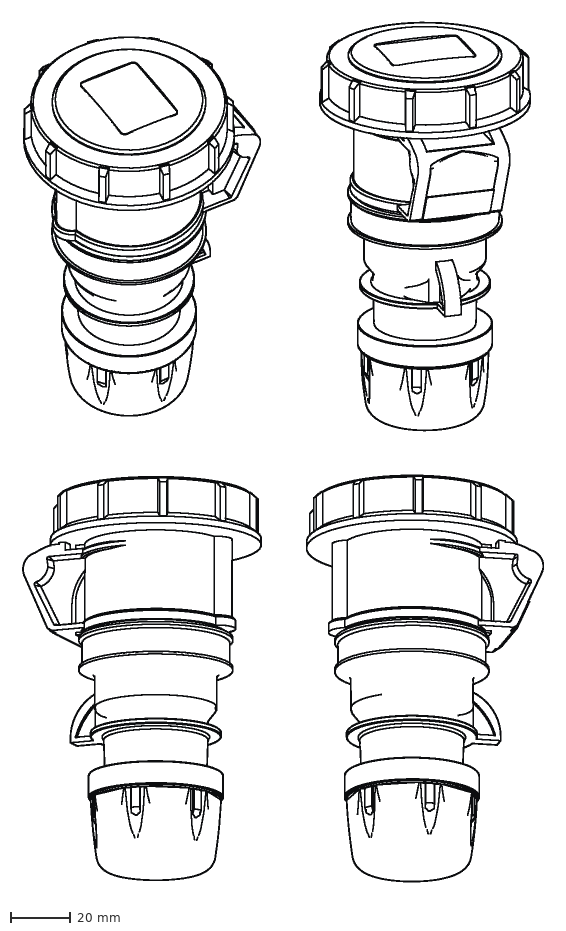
import cadquery as cq
import math

NUT_ROUND_Z = 4.9
NUT_COLLAR_Z = 25.1
NUT_TOP_Z = 33.0
DISC_Z = 46.1
DISC_TOP_Z = 47.8
SHOULDER_Z = 51.0
GRIP_Z = 56.2
GRIP_TOP_Z = 66.7
BAND_Z = 69.1
BAND_TOP_Z = 80.2
COLLAR_Z = 81.4
COLLAR_TOP_Z = 85.1
CAP_Z = 112.3
CAP_TOP_Z = 128.8
TOTAL_HEIGHT = 131.3

NUT_FOOT_R = 14.5
NUT_ROUND_R = 20.1
NUT_R = 22.0
NUT_COLLAR_R = 22.7
NUT_COLLAR_EDGE = 0.3
NECK_R = 17.2
NECK_TOP_R = 17.6
DISC_R = 22.0
DISC_EDGE = 0.3
DISC_FLARE = 1.0
NECK_FILLET = 0.7
GRIP_R = 20.6
BAND_R = 25.0
BAND_LIP_R = 26.0
BAND_LIP = 0.9
SOCKET_R = 24.0

KEY_R = 5.3
KEY_FRONT_Y = -27.5
BACK_RIB_WIDTH = 20.2
BACK_RIB_Y = 25.1
COLLAR_OFFSET = 1.2
COLLAR_CHAMFER = 0.8

CAP_DIAMETER = 71.0
CAP_R = CAP_DIAMETER / 2
CAP_FLANGE = 2.2
CAP_CHAMFER_HEIGHT = 1.8
DRUM_R = 33.1
DRUM_EDGE = 0.8
RIB_COUNT = 10
RIB_ANGLE = -9.0
RIB_R = 35.2
RIB_TIP_WIDTH = 2.4
RIB_ROOT_WIDTH = 3.7
RIB_TIP_DROP = 2.4

LID_R = 25.9
LID_RIM_R = 24.8
LID_STEP = 0.4
LID_EDGE_Z = 130.2
LABEL_WIDTH = 29.5
LABEL_HEIGHT = 21.8
LABEL_CORNER = 1.6
LABEL_FLOOR_Z = 130.5

FLUTE_COUNT = 6
FLUTE_ANGLE = 4.0
FLUTE_R = 5.4
FLUTE_FLOOR_R = 20.5
CHANNEL_R = 1.8
CHANNEL_FLOOR_R = 20.4
FLUTE_RIB_WIDTH = 3.2
FLUTE_RIB_R = 21.4
FLUTE_RIB_Z = 15.0
FLUTE_RIB_SLOPE = 2.6
FLAT_DISTANCE = 20.8
FLAT_WIDTH = 18.4
NUT_CUT_TOP_Z = 24.4

LEVER_WIDTH = 32.6
LEVER_WEB_WIDTH = 25.2
LEVER_GAP_WIDTH = 23.9
RECESS_TAPER = 12.0
LEVER_BACK_Y = 41.8
OVERALL_DEPTH = 77.8
LEVER_PAD_Y = OVERALL_DEPTH - CAP_R
LEVER_GAP_Y = 38.0
GAP_SINK = 0.4
NOTCH_Z = 104.5
NOTCH_END_Y = 42.0
NOTCH_TIP_Y = 39.7
EAR_Z = 111.8
EAR_FRONT_Y = 26.3
STRAP_Z = 107.0
STRAP_TOP_Z = 109.5
STRAP_SHIFT = 2.1
STRAP_EDGE = 0.5
HINGE_DEPTH = 2.4
LEVER_FOOT_Z = 82.2
LEVER_FLOOR_Z = 84.7
CLEARANCE_Y = 25.3
CLEARANCE_TOP_Z = 103.0
PAD_TOP_Z = 92.7

BRACKET_WIDTH = 5.8
BRACKET_WEB_WIDTH = 3.2
BRACKET_Y = 30.1
BRACKET_TOP_Z = 62.6
BRACKET_RIM = 1.8
BRACKET_TOP_RIM = 2.9
SKIRT_TIP_WIDTH = 9.2
SKIRT_ROOT_WIDTH = 24.4
SKIRT_ROOT_Y = 12.6


def cylinder(radius, low, high):
    return cq.Workplane("XY").workplane(offset=low).circle(radius).extrude(high - low)


def box(x_size, y_low, y_high, z_low, z_high):
    """Block centred on X = 0."""
    block = cq.Workplane("XY").box(x_size, y_high - y_low, z_high - z_low, centered=(True, False, False))
    return block.translate((0, y_low, z_low))


def across(profile, width):
    """Extrude a YZ profile symmetrically about X = 0."""
    return profile.extrude(width / 2, both=True)


def turn(shape, angle):
    return shape.rotate((0, 0, 0), (0, 0, 1), angle)


def make_nut():
    nut = (
        cq.Workplane("XZ")
        .lineTo(NUT_FOOT_R, 0)
        .threePointArc((18.7, 1.7), (NUT_ROUND_R, NUT_ROUND_Z))
        .threePointArc((21.3, 14.5), (NUT_R, NUT_COLLAR_Z))
        .lineTo(0, NUT_COLLAR_Z)
        .close()
        .revolve(360, (0, 0, 0), (0, 1, 0))
    )
    flat = box(FLAT_WIDTH, FLAT_DISTANCE, NUT_COLLAR_R, NUT_ROUND_Z, NUT_CUT_TOP_Z)
    flute = cylinder(FLUTE_R, NUT_ROUND_Z, NUT_CUT_TOP_Z).translate((FLUTE_FLOOR_R + FLUTE_R, 0, 0))
    channel = cylinder(CHANNEL_R, NUT_ROUND_Z, NUT_CUT_TOP_Z).translate((CHANNEL_FLOOR_R + CHANNEL_R, 0, 0))
    rib = (
        cq.Workplane("XZ")
        .moveTo(NECK_R, FLUTE_RIB_Z)
        .lineTo(CHANNEL_FLOOR_R, FLUTE_RIB_Z)
        .lineTo(FLUTE_RIB_R, FLUTE_RIB_Z + FLUTE_RIB_SLOPE)
        .lineTo(FLUTE_RIB_R, NUT_COLLAR_Z)
        .lineTo(NECK_R, NUT_COLLAR_Z)
        .close()
        .extrude(FLUTE_RIB_WIDTH / 2, both=True)
    )
    pitch = 360 / FLUTE_COUNT
    for index in range(FLUTE_COUNT):
        angle = FLUTE_ANGLE + index * pitch
        nut = nut.cut(turn(flat, angle + pitch / 2 - 90))
        nut = nut.cut(turn(flute, angle)).cut(turn(channel, angle))
        nut = nut.union(turn(rib, angle))
    collar = cylinder(NUT_COLLAR_R, NUT_COLLAR_Z, NUT_TOP_Z)
    return nut.union(collar.edges().chamfer(NUT_COLLAR_EDGE))


def make_body():
    """Turned body from the gland nut up to the socket collar."""
    return (
        cq.Workplane("XZ")
        .moveTo(0, NUT_TOP_Z)
        .lineTo(NECK_R, NUT_TOP_Z)
        .lineTo(NECK_TOP_R, DISC_Z - DISC_FLARE)
        .lineTo(NECK_TOP_R + DISC_FLARE / 2, DISC_Z)
        .lineTo(DISC_R - DISC_EDGE, DISC_Z)
        .lineTo(DISC_R, DISC_Z + DISC_EDGE)
        .lineTo(DISC_R, DISC_TOP_Z - DISC_EDGE)
        .lineTo(DISC_R - DISC_EDGE, DISC_TOP_Z)
        .lineTo(NECK_TOP_R + NECK_FILLET, DISC_TOP_Z)
        .radiusArc((NECK_TOP_R, DISC_TOP_Z + NECK_FILLET), NECK_FILLET)
        .lineTo(NECK_TOP_R, SHOULDER_Z)
        .threePointArc((17.7, 51.9), (18.3, 52.7))
        .lineTo(20.2, 55.2)
        .threePointArc((20.5, 55.7), (GRIP_R, GRIP_Z))
        .lineTo(GRIP_R, GRIP_TOP_Z)
        .threePointArc((21.4, 68.2), (23.1, BAND_Z))
        .lineTo(BAND_LIP_R, BAND_Z)
        .lineTo(BAND_LIP_R, BAND_Z + BAND_LIP)
        .lineTo(BAND_R, BAND_Z + BAND_LIP)
        .lineTo(BAND_R, BAND_TOP_Z - 2 * BAND_LIP)
        .lineTo(BAND_LIP_R, BAND_TOP_Z - BAND_LIP)
        .lineTo(BAND_LIP_R, BAND_TOP_Z)
        .lineTo(SOCKET_R, BAND_TOP_Z)
        .lineTo(SOCKET_R, COLLAR_Z)
        .lineTo(0, COLLAR_Z)
        .close()
        .revolve(360, (0, 0, 0), (0, 1, 0))
    )


def make_socket():
    """Barrel with a round front key, a flat back rib and a collar at its foot."""
    key_y = KEY_FRONT_Y + KEY_R
    socket = box(BACK_RIB_WIDTH, 0, BACK_RIB_Y, COLLAR_Z, CAP_Z)
    for radius, y in ((SOCKET_R, 0), (KEY_R, key_y)):
        barrel = cylinder(radius, COLLAR_Z, CAP_Z)
        collar = cylinder(radius + COLLAR_OFFSET, COLLAR_Z, COLLAR_TOP_Z).faces(">Z").chamfer(COLLAR_CHAMFER)
        socket = socket.union(barrel.union(collar).translate((0, y, 0)))
    return socket


def make_cap():
    flange_top = CAP_Z + CAP_FLANGE
    cap = (
        cq.Workplane("XZ")
        .moveTo(0, CAP_Z)
        .lineTo(CAP_R, CAP_Z)
        .lineTo(CAP_R, flange_top)
        .lineTo(DRUM_R, flange_top + CAP_CHAMFER_HEIGHT)
        .lineTo(DRUM_R, CAP_TOP_Z - DRUM_EDGE)
        .lineTo(DRUM_R - DRUM_EDGE, CAP_TOP_Z)
        .lineTo(0, CAP_TOP_Z)
        .close()
        .revolve(360, (0, 0, 0), (0, 1, 0))
    )
    root = DRUM_R - DRUM_EDGE
    rib = (
        cq.Workplane("XY")
        .workplane(offset=flange_top)
        .polyline(
            [
                (root, -RIB_ROOT_WIDTH / 2),
                (RIB_R, -RIB_TIP_WIDTH / 2),
                (RIB_R, RIB_TIP_WIDTH / 2),
                (root, RIB_ROOT_WIDTH / 2),
            ]
        )
        .close()
        .extrude(CAP_TOP_Z - DRUM_EDGE / 2 - flange_top)
        .faces(">Z")
        .edges(">X")
        .chamfer(RIB_TIP_DROP - DRUM_EDGE / 2, RIB_R - DRUM_R)
    )
    for index in range(RIB_COUNT):
        cap = cap.union(turn(rib, RIB_ANGLE + index * 360 / RIB_COUNT))
    return cap


def make_lid():
    """Domed lid; the long sides of the label recess reach the full height."""
    half_label = LABEL_HEIGHT / 2
    dome_r = (LID_RIM_R**2 - half_label**2) / (2 * (TOTAL_HEIGHT - LID_EDGE_Z))
    centre_z = TOTAL_HEIGHT - math.sqrt(dome_r**2 - half_label**2)
    edge_z = centre_z + math.sqrt(dome_r**2 - LID_RIM_R**2)
    middle_r = LID_RIM_R / 2
    middle_z = centre_z + math.sqrt(dome_r**2 - middle_r**2)
    lid = (
        cq.Workplane("XZ")
        .moveTo(0, CAP_TOP_Z)
        .lineTo(LID_R, CAP_TOP_Z)
        .lineTo(LID_R, CAP_TOP_Z + LID_STEP)
        .lineTo(LID_RIM_R, edge_z)
        .threePointArc((middle_r, middle_z), (0, centre_z + dome_r))
        .close()
        .revolve(360, (0, 0, 0), (0, 1, 0))
    )
    label = box(LABEL_WIDTH, -half_label, half_label, LABEL_FLOOR_Z, centre_z + dome_r)
    return lid.cut(label.edges("|Z").fillet(LABEL_CORNER))


def lever_profile(back_y):
    """Side outline of the latch lever, with its rounded back at the given Y."""
    return (
        cq.Workplane("YZ")
        .moveTo(0, LEVER_FOOT_Z)
        .lineTo(31.5, LEVER_FOOT_Z)
        .lineTo(32.8, 83.1)
        .lineTo(back_y - 0.4, 102.2)
        .threePointArc((back_y, 104.4), (37.4, STRAP_TOP_Z))
        .threePointArc((34.5, 110.9), (31.3, EAR_Z))
        .lineTo(EAR_FRONT_Y, EAR_Z)
        .lineTo(EAR_FRONT_Y, STRAP_TOP_Z)
        .lineTo(0, STRAP_TOP_Z)
        .close()
    )


def make_lever():
    lever = across(lever_profile(LEVER_BACK_Y), LEVER_WIDTH)

    notch = (
        cq.Workplane("XY")
        .workplane(offset=NOTCH_Z)
        .polyline(
            [
                (-LEVER_GAP_WIDTH / 2, 0),
                (-LEVER_GAP_WIDTH / 2, NOTCH_END_Y),
                (0, NOTCH_TIP_Y),
                (LEVER_GAP_WIDTH / 2, NOTCH_END_Y),
                (LEVER_GAP_WIDTH / 2, 0),
            ]
        )
        .close()
        .extrude(CAP_Z - NOTCH_Z)
    )
    lever = lever.union(across(lever_profile(LEVER_PAD_Y), LEVER_GAP_WIDTH).cut(notch))
    lever = lever.cut(box(LEVER_GAP_WIDTH, 0, LEVER_GAP_Y, STRAP_TOP_Z - GAP_SINK, CAP_Z))

    grip_pad = (
        cq.Workplane("YZ")
        .moveTo(30.2, LEVER_FOOT_Z)
        .lineTo(32.3, LEVER_FOOT_Z)
        .lineTo(33.6, 83.1)
        .lineTo(38.0, PAD_TOP_Z)
        .lineTo(34.1, PAD_TOP_Z)
        .close()
    )
    lever = lever.union(across(grip_pad, LEVER_GAP_WIDTH))

    recess_depth = (LEVER_WIDTH - LEVER_WEB_WIDTH) / 2
    side_recess = (
        cq.Workplane("YZ")
        .workplane(offset=LEVER_WEB_WIDTH / 2)
        .moveTo(0, STRAP_Z)
        .lineTo(32.2, STRAP_Z)
        .lineTo(31.8, 104.3)
        .threePointArc((33.6, 100.5), (36.8, 98.6))
        .lineTo(29.8, LEVER_FLOOR_Z)
        .lineTo(0, LEVER_FLOOR_Z)
        .close()
        .extrude(recess_depth, taper=-RECESS_TAPER)
    )
    lever = lever.cut(side_recess).cut(side_recess.mirror("YZ"))

    clearance = (
        cq.Workplane("YZ")
        .moveTo(0, LEVER_FLOOR_Z)
        .lineTo(CLEARANCE_Y, LEVER_FLOOR_Z)
        .lineTo(CLEARANCE_Y, 91.7)
        .threePointArc((23.6, 98.5), (20.5, CLEARANCE_TOP_Z))
        .lineTo(0, CLEARANCE_TOP_Z)
        .close()
    )
    lever = lever.cut(across(clearance, LEVER_WEB_WIDTH))

    strap = cylinder(SOCKET_R, STRAP_Z, STRAP_TOP_Z).edges().chamfer(STRAP_EDGE)
    strap = strap.translate((0, STRAP_SHIFT, 0))
    hinge = box(LEVER_WIDTH, EAR_FRONT_Y, EAR_FRONT_Y + HINGE_DEPTH, STRAP_TOP_Z, CAP_Z)
    hinge = hinge.cut(box(LEVER_GAP_WIDTH, 0, LEVER_GAP_Y, STRAP_TOP_Z, CAP_Z))
    return lever.union(strap).union(hinge)


def bracket_profile(back_y, top_z):
    """Quarter-round side outline of the catch bracket."""
    return (
        cq.Workplane("YZ")
        .moveTo(NECK_R, DISC_TOP_Z)
        .lineTo(back_y, DISC_TOP_Z)
        .threePointArc((back_y - 2.6, top_z - 6.2), (20.0, top_z))
        .lineTo(NECK_R, top_z)
        .close()
    )


def make_bracket():
    bracket = across(bracket_profile(BRACKET_Y, BRACKET_TOP_Z), BRACKET_WIDTH)
    recess = across(bracket_profile(BRACKET_Y - BRACKET_RIM, BRACKET_TOP_Z - BRACKET_TOP_RIM), BRACKET_WIDTH)
    bracket = bracket.cut(recess.cut(box(BRACKET_WEB_WIDTH, 0, BRACKET_Y, DISC_Z, BRACKET_TOP_Z)))
    tongue = box(BRACKET_WIDTH, 0, BRACKET_Y, DISC_Z, DISC_TOP_Z)
    skirt = (
        cq.Workplane("XY")
        .workplane(offset=DISC_Z)
        .polyline(
            [
                (-SKIRT_ROOT_WIDTH / 2, SKIRT_ROOT_Y),
                (SKIRT_ROOT_WIDTH / 2, SKIRT_ROOT_Y),
                (SKIRT_TIP_WIDTH / 2, GRIP_R),
                (-SKIRT_TIP_WIDTH / 2, GRIP_R),
            ]
        )
        .close()
        .extrude(GRIP_Z - DISC_Z)
        .intersect(cylinder(GRIP_R, DISC_Z, GRIP_Z))
    )
    return bracket.union(tongue).union(skirt)


result = make_body()
for section in (make_nut(), make_socket(), make_lever(), make_cap(), make_lid(), make_bracket()):
    result = result.union(section)